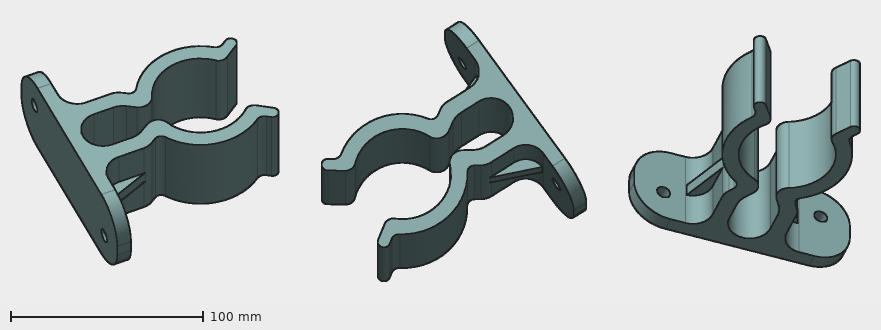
import cadquery as cq
import math

plate_length = 119.8
plate_height = 47.3
plate_thickness = 7.9
plate_corner_radius = 20.0
screw_diameter = 7.2
screw_x = 43.6
screw_z = 5.6

slot_half_width = 11.4
leg_outer_x = 20.5
leg_foot_radius = 11.0
outer_bend_y = 33.0
outer_bend_radius = 10.0
inner_bend_y = 30.4
inner_bend_radius = 12.0
neck_angle = math.radians(33)

overall_depth = 107.4
ring_center = cq.Vector(0, 75.0)
ring_inner_radius = 25.3
ring_outer_radius = 33.8
neck_outer_blend = 3.7
neck_inner_blend = 6.8

lip_angle = math.radians(35)
lip_radius = 3.2
lip_end_x = 26.05
lip_outer_blend = 4.3
lip_inner_blend = 5.0

gusset_thickness = 7.1
gusset_foot_x = 30.8
gusset_top_y = 34.0


def blend(line_point, normal, radius, ring_radius, side):
    """Arc outside a ring circle, tangent to it and to a line.

    The arc lies on the positive-normal side of the line; side picks which end of the ring.
    Returns the center, the contact with the line and the contact with the ring.
    """
    reach = ring_radius + radius
    along_normal = normal.dot(line_point - ring_center) + radius
    along_line = side * math.sqrt(reach**2 - along_normal**2)
    direction = cq.Vector(-normal.y, normal.x)
    offset = normal * along_normal + direction * along_line
    center = ring_center + offset
    return center, center - normal * radius, ring_center + offset * (ring_radius / reach)


def arc_to(sketch, start, end, center):
    """Continue the outline along the shorter arc about center."""
    start_radius = start - center
    middle = center + (start_radius + end - center).normalized() * start_radius.Length
    return sketch.threePointArc(middle.toTuple()[:2], end.toTuple()[:2])


def half_clip():
    """Leg, ring arm and lip on the +X side."""
    neck_normal = cq.Vector(math.cos(neck_angle), math.sin(neck_angle))
    lip_normal = cq.Vector(math.cos(lip_angle), -math.sin(lip_angle))
    lip_direction = cq.Vector(math.sin(lip_angle), math.cos(lip_angle))

    outer_bend_center = cq.Vector(leg_outer_x - outer_bend_radius, outer_bend_y)
    inner_bend_center = cq.Vector(slot_half_width - inner_bend_radius, inner_bend_y)
    outer_bend_end = outer_bend_center + neck_normal * outer_bend_radius
    inner_bend_end = inner_bend_center + neck_normal * inner_bend_radius
    lip_center = cq.Vector(lip_end_x, overall_depth - lip_radius)
    lip_outer = lip_center + lip_normal * lip_radius
    lip_inner = lip_center - lip_normal * lip_radius
    lip_tip = lip_center + lip_direction * lip_radius

    neck_out, neck_out_line, neck_out_ring = blend(
        outer_bend_end, neck_normal, neck_outer_blend, ring_outer_radius, -1)
    neck_in, neck_in_line, neck_in_ring = blend(
        inner_bend_end, neck_normal, neck_inner_blend, ring_inner_radius, -1)
    lip_out, lip_out_line, lip_out_ring = blend(
        lip_outer, lip_normal, lip_outer_blend, ring_outer_radius, 1)
    lip_in, lip_in_line, lip_in_ring = blend(
        lip_inner, lip_normal, lip_inner_blend, ring_inner_radius, 1)

    foot_x = leg_outer_x + leg_foot_radius
    foot_top = cq.Vector(leg_outer_x, plate_thickness + leg_foot_radius)
    foot_center = cq.Vector(foot_x, foot_top.y)
    foot_end = cq.Vector(foot_x, plate_thickness)
    outer_bend_start = cq.Vector(leg_outer_x, outer_bend_y)
    inner_bend_start = cq.Vector(slot_half_width, inner_bend_y)
    slot_center = cq.Vector(0, plate_thickness + slot_half_width)
    slot_side = cq.Vector(slot_half_width, slot_center.y)
    slot_bottom = cq.Vector(0, plate_thickness)

    sketch = cq.Workplane("XY").moveTo(0, 0).lineTo(foot_x, 0).lineTo(foot_x, plate_thickness)
    sketch = arc_to(sketch, foot_end, foot_top, foot_center)
    sketch = sketch.lineTo(leg_outer_x, outer_bend_y)
    sketch = arc_to(sketch, outer_bend_start, outer_bend_end, outer_bend_center)
    sketch = sketch.lineTo(neck_out_line.x, neck_out_line.y)
    sketch = arc_to(sketch, neck_out_line, neck_out_ring, neck_out)
    sketch = arc_to(sketch, neck_out_ring, lip_out_ring, ring_center)
    sketch = arc_to(sketch, lip_out_ring, lip_out_line, lip_out)
    sketch = sketch.lineTo(lip_outer.x, lip_outer.y)
    sketch = sketch.threePointArc((lip_tip.x, lip_tip.y), (lip_inner.x, lip_inner.y))

    sketch = sketch.lineTo(lip_in_line.x, lip_in_line.y)
    sketch = arc_to(sketch, lip_in_line, lip_in_ring, lip_in)
    sketch = arc_to(sketch, lip_in_ring, neck_in_ring, ring_center)
    sketch = arc_to(sketch, neck_in_ring, neck_in_line, neck_in)
    sketch = sketch.lineTo(inner_bend_end.x, inner_bend_end.y)
    sketch = arc_to(sketch, inner_bend_end, inner_bend_start, inner_bend_center)
    sketch = sketch.lineTo(slot_side.x, slot_side.y)
    sketch = arc_to(sketch, slot_side, slot_bottom, slot_center)
    return sketch.close().extrude(plate_height / 2, both=True)


def half_gusset():
    """Triangular rib on the +X side, with its inner edge buried in the leg and plate."""
    leg_middle_x = (slot_half_width + leg_outer_x) / 2
    gusset_top_x = outer_bend_face_x(gusset_top_y)
    outline = [
        (leg_middle_x, plate_thickness / 2),
        (gusset_foot_x, plate_thickness / 2),
        (gusset_foot_x, plate_thickness),
        (gusset_top_x, gusset_top_y),
        (leg_middle_x, gusset_top_y),
    ]
    return cq.Workplane("XY").polyline(outline).close().extrude(gusset_thickness / 2, both=True)


def outer_bend_face_x(y):
    """X of the leg's outer bend surface at height y."""
    rise = y - outer_bend_y
    return leg_outer_x - outer_bend_radius + math.sqrt(outer_bend_radius**2 - rise**2)


def mounting_plate():
    """Rounded plate with two diagonally placed screw holes."""
    plate = (
        cq.Workplane("XY")
        .box(plate_length, plate_thickness, plate_height, centered=(True, False, True))
        .edges("|Y")
        .fillet(plate_corner_radius)
    )
    holes = (
        cq.Workplane("XZ")
        .pushPoints([(-screw_x, screw_z), (screw_x, -screw_z)])
        .circle(screw_diameter / 2)
        .extrude(-plate_thickness)
    )
    return plate.cut(holes)


arm = half_clip().union(half_gusset())
result = mounting_plate().union(arm).union(arm.mirror("YZ")).clean()